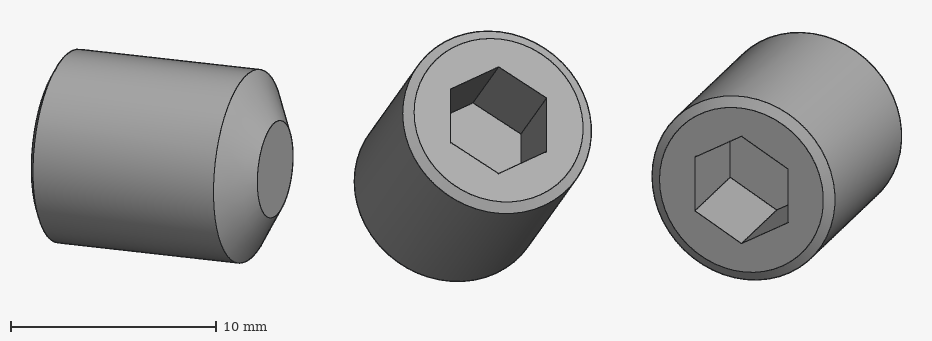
import cadquery as cq
import math

length = 11.1
diameter = 9.5
socket_face_diameter = 8.5
point_diameter = 4.77
cone_slope = math.tan(math.radians(30))

socket_across_flats = 4.83
socket_depth = 5.0

radius = diameter / 2
socket_face_radius = socket_face_diameter / 2
point_radius = point_diameter / 2
chamfer_length = (radius - socket_face_radius) * cone_slope
point_length = (radius - point_radius) * cone_slope


def make_body():
    """Revolve the half profile about the X axis."""
    profile = [
        (0, 0),
        (0, socket_face_radius),
        (chamfer_length, radius),
        (length - point_length, radius),
        (length, point_radius),
        (length, 0),
    ]
    return cq.Workplane("XY").polyline(profile).close().revolve(360, (0, 0, 0), (1, 0, 0))


def make_socket():
    """Blind hexagon with corners at top and bottom and flats facing +Y and -Y."""
    across_corners = socket_across_flats / math.cos(math.radians(30))
    socket_plane = cq.Plane(origin=(0, 0, 0), xDir=(0, 0, 1), normal=(1, 0, 0))
    return cq.Workplane(socket_plane).polygon(6, across_corners).extrude(socket_depth)


result = make_body().cut(make_socket())